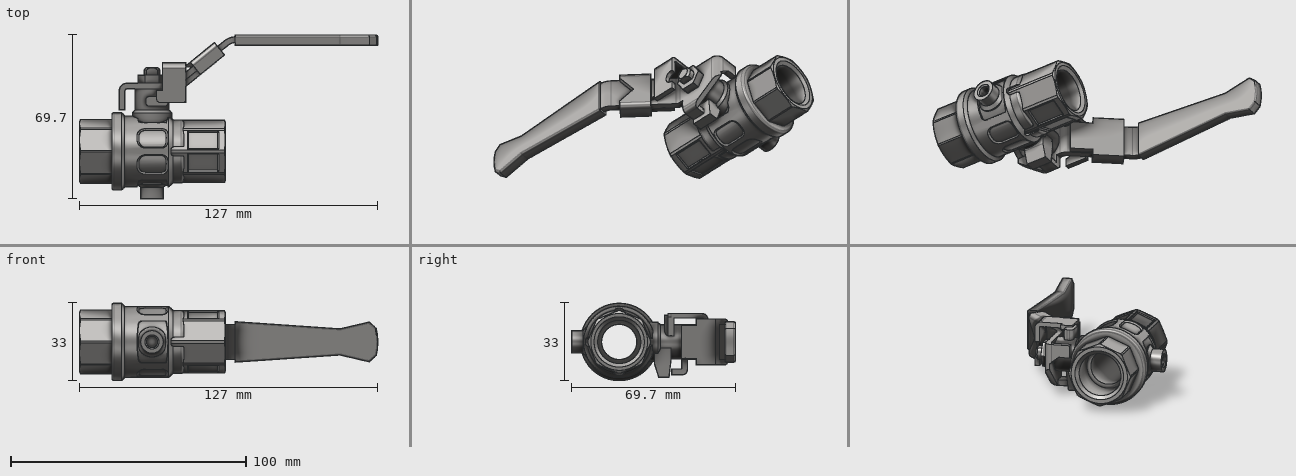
import cadquery as cq
import math


BODY_LEFT = -30.9
BODY_RIGHT = 31.3
CAP_RADIUS = 13.6
CAP_FLATS = 25.4
TAIL_RADIUS = 13.3
TAIL_FLATS = 25.0
END_CHAMFER = 1.2
END_CHAMFER_LENGTH = 0.5
FLANGE_LEFT = -17.1
FLANGE_RIGHT = -11.6
FLANGE_RADIUS = 16.5
FLANGE_ROUND = 1.0
FLANGE_CHAMFER = 1.3
SHELL_RADIUS = 15.15
SHELL_END = 7.0
SKIRT_START = 9.0
SKIRT_END = 13.6
SKIRT_RADIUS = 13.55
SKIRT_ROUND = 1.2
SKIRT_NOTCH_START = 8.0
SKIRT_NOTCH_HALF_WIDTH = 2.0
SKIRT_NOTCH_ROUND = 1.5

PORT_RADIUS = 7.45
THREAD_RADIUS = 9.2
THREAD_MOUTH_RADIUS = 10.7
THREAD_MOUTH_DEPTH = 1.2
THREAD_DEPTH = 14.0

MARKED_FLAT_ANGLES = (-22.5, 22.5, 157.5, 202.5)
PANEL_LEFT = -6.4
PANEL_RIGHT = 6.9
PANEL_DEPTH = 0.7
PANEL_HALF_WIDTH = 5.3
PANEL_CORNER = 0.9
PANEL_WALL_TAPER = 50.0
WIDE_PANEL_HALF_WIDTH = 9.8
WIDE_PANEL_WALL_TAPER = 15.0
POCKET_LEFT = 15.0
POCKET_RIGHT = 28.4
POCKET_WIDTH = 8.4
POCKET_DEPTH = 0.5

DRAIN_TIP = -20.2
DRAIN_RADIUS = 4.8
DRAIN_FOOT_RADIUS = 6.4
DRAIN_FOOT = -14.0
DRAIN_FOOT_TOP = -15.3
DRAIN_HOLE_RADIUS = 2.4
DRAIN_HOLE_MOUTH_RADIUS = 3.0
DRAIN_HOLE_DEPTH = 5.0

SHEET = 2.5
PLATE_BOTTOM = 26.55
PLATE_LEFT = -14.0
TAB_TIP = 17.6
TAB_EDGE_Z = 2.1
TAB_GUSSET_START = 22.3
TAB_GUSSET_Z = -1.3
PLATE_CORNER_Z = -3.4
LEVER_HALF_WIDTH = 7.5
FOLD_Z = -14.0
FOLD_LEFT = 0.0
FOLD_RIGHT = 6.0
FOLD_TIP = 22.3
FOLD_ROUND = 2.3
LEVER_END_Y = 47.55
LEVER_SLOPE = 39.0
TAB_BEND = 2.2
FOOT_BEND = 4.0
GRIP_BEND = 6.5

NECK_RADIUS = 7.3
NECK_ROOT = 8.5
COLLAR_RADIUS = 8.4
COLLAR_TOP = 16.4
COLLAR_SLOPE_TOP = 17.6
NUT_FLATS = 10.4
NUT_HEIGHT = 3.4
STEM_RADIUS = 3.4
STEM_TOP = 35.6
STEM_CHAMFER = 0.9
STEM_HALF_THICKNESS = 2.5

LUG_LEFT = -2.6
LUG_RIGHT = 6.8
UPPER_LUG_BOTTOM = 19.2
UPPER_LUG_TOP = 23.4
UPPER_LUG_Z = 11.4
LUG_ROUND = 1.5
LOWER_LUG_Z = -15.1
LOWER_LUG_TOP = 22.1
LOWER_LUG_TIP_TOP = 21.2
LOWER_LUG_TIP_BOTTOM = 16.8
LOWER_LUG_FOOT = 14.9
LOWER_LUG_FOOT_Z = -9.2

CLIP_LEFT = 4.4
CLIP_RIGHT = 14.4
CLIP_BACK = 37.8
CLIP_SHEET = 1.95
CLIP_TOP_Z = 12.1
CLIP_LOW_Z = -7.1
CLIP_TIP = 20.7
CLIP_BEND = 2.6
CLIP_TOE_LEFT = 1.9
CLIP_TOE_TOP = 25.8
CLIP_TOE_ROUND = 1.8
CLIP_HEEL_ROUND = 1.4
CLIP_NOTCH_RADIUS = 3.3
CLIP_HOOK_LEFT = 12.4
CLIP_HOOK_Z = 2.6
CLIP_HOOK_TOP = 23.3
BRIDGE_HALF_WIDTH = 5.0
SLEEVE_X = 16.3
SLEEVE_Y = 38.0
SLEEVE_LENGTH = 13.2
SLEEVE_HEIGHT = 6.85
SLEEVE_HALF_WIDTH = 9.8
SLEEVE_WALL = 2.1
SLEEVE_ROUND = 2.0
SLEEVE_VEE_DEPTH = 5.9
SLEEVE_VEE_HALF_WIDTH = 6.8
LINER_START = -9.8
LINER_HALF_WIDTH = 7.0

GRIP_LEFT = 35.4
GRIP_RIGHT = 96.1
GRIP_BOTTOM = 45.0
GRIP_TOP = 49.5
GRIP_HALF_WIDTH = 8.65
GRIP_WAIST_X = 80.0
GRIP_WAIST_HALF_WIDTH = 5.6
GRIP_FLARE_X = 92.4
GRIP_FLARE_HALF_WIDTH = 8.5
GRIP_END_X = 95.4
GRIP_END_HALF_WIDTH = 5.7
GRIP_TOP_EDGE = 0.9
GRIP_BOTTOM_EDGE = 0.5

OVERLAP = 0.5


def block(x0, x1, y0, y1, z0, z1):
    """Box between two opposite corners."""
    size = cq.Workplane("XY").box(x1 - x0, y1 - y0, z1 - z0, centered=False)
    return size.translate((x0, y0, z0))


def turned(points):
    """Solid of revolution about X from (x, radius) points."""
    return cq.Workplane("XY").polyline(points).close().revolve(360, (0, 0, 0), (1, 0, 0))


def turned_about_stem(points):
    """Solid of revolution about Y from (radius, y) points."""
    return cq.Workplane("XY").polyline(points).close().revolve(360, (0, 0, 0), (0, 1, 0))


def octagon(x0, x1, flats, radius):
    """Octagonal end with corners on the Y and Z axes, trimmed by a chamfered cylinder."""
    across_corners = flats / math.cos(math.pi / 8)
    prism = cq.Workplane("YZ", origin=(x0, 0, 0)).polygon(8, across_corners).extrude(x1 - x0)
    envelope = turned([
        (x0, 0),
        (x0, radius - END_CHAMFER),
        (x0 + END_CHAMFER_LENGTH, radius),
        (x1 - END_CHAMFER_LENGTH, radius),
        (x1, radius - END_CHAMFER),
        (x1, 0),
    ])
    return prism.intersect(envelope)


def make_shell():
    flange = cq.Workplane("YZ", origin=(FLANGE_LEFT, 0, 0)).circle(FLANGE_RADIUS)
    flange = flange.extrude(FLANGE_RIGHT - FLANGE_LEFT)
    flange = flange.edges("<X").fillet(FLANGE_ROUND).edges(">X").chamfer(FLANGE_CHAMFER)
    shell = turned([
        (FLANGE_LEFT + OVERLAP, 0),
        (FLANGE_LEFT + OVERLAP, SHELL_RADIUS),
        (SHELL_END, SHELL_RADIUS),
        (SKIRT_START, SKIRT_RADIUS),
        (SKIRT_END, SKIRT_RADIUS),
        (SKIRT_END, 0),
    ])
    shell = shell.edges(">X").fillet(SKIRT_ROUND)
    return shell.union(flange)


def make_skirt_notches():
    """Notches in the skirt where the octagon corners on the Y and Z axes run out."""
    reach = 2 * SKIRT_RADIUS
    across_z = block(
        SKIRT_NOTCH_START, SKIRT_END + OVERLAP,
        -SKIRT_NOTCH_HALF_WIDTH, SKIRT_NOTCH_HALF_WIDTH, -reach, reach,
    ).edges("|Z and <X").fillet(SKIRT_NOTCH_ROUND)
    return across_z.union(across_z.rotate((0, 0, 0), (1, 0, 0), 90))


def make_panel(half_width, wall_taper, angle):
    """Shell recess with a floor concentric to the shell, centred at `angle` from +Z about X."""
    length = PANEL_RIGHT - PANEL_LEFT
    rim_height = math.sqrt(SHELL_RADIUS ** 2 - half_width ** 2)
    base_height = rim_height - 2 * PANEL_DEPTH
    spread = (SHELL_RADIUS - base_height) * math.tan(math.radians(wall_taper))
    outline = cq.Sketch().rect(length - 2 * spread, 2 * half_width - 2 * spread)
    outline = outline.vertices("<X").fillet(PANEL_CORNER)
    plug = (
        cq.Workplane("XY", origin=((PANEL_LEFT + PANEL_RIGHT) / 2, 0, base_height))
        .placeSketch(outline)
        .extrude(SHELL_RADIUS - base_height, taper=-wall_taper)
    )
    core = cq.Workplane("YZ", origin=(PANEL_LEFT, 0, 0)).circle(SHELL_RADIUS - PANEL_DEPTH).extrude(length)
    return plug.cut(core).rotate((0, 0, 0), (1, 0, 0), angle)


def make_pocket(angle):
    """Shallow rectangular pocket in the octagon flat at `angle` from +Z about X."""
    floor = TAIL_FLATS / 2 - POCKET_DEPTH
    pocket = (
        cq.Workplane("XY", origin=((POCKET_LEFT + POCKET_RIGHT) / 2, 0, floor))
        .rect(POCKET_RIGHT - POCKET_LEFT - 2 * POCKET_DEPTH, POCKET_WIDTH - 2 * POCKET_DEPTH)
        .extrude(2 * POCKET_DEPTH, taper=-45)
    )
    return pocket.rotate((0, 0, 0), (1, 0, 0), angle)


def make_drain():
    return turned_about_stem([
        (0, DRAIN_TIP),
        (DRAIN_RADIUS, DRAIN_TIP),
        (DRAIN_RADIUS, DRAIN_FOOT_TOP),
        (DRAIN_FOOT_RADIUS, DRAIN_FOOT),
        (DRAIN_FOOT_RADIUS, DRAIN_FOOT + OVERLAP),
        (0, DRAIN_FOOT + OVERLAP),
    ])


def make_drain_hole():
    mouth = DRAIN_HOLE_MOUTH_RADIUS - DRAIN_HOLE_RADIUS
    bottom = DRAIN_TIP + DRAIN_HOLE_DEPTH
    return turned_about_stem([
        (0, DRAIN_TIP),
        (DRAIN_HOLE_MOUTH_RADIUS, DRAIN_TIP),
        (DRAIN_HOLE_RADIUS, DRAIN_TIP + mouth),
        (DRAIN_HOLE_RADIUS, bottom),
        (0, bottom),
    ])


def make_bores():
    port = cq.Workplane("YZ", origin=(BODY_LEFT, 0, 0)).circle(PORT_RADIUS).extrude(BODY_RIGHT - BODY_LEFT)
    for end, inward in ((BODY_LEFT, 1), (BODY_RIGHT, -1)):
        thread = turned([
            (end, 0),
            (end, THREAD_MOUTH_RADIUS),
            (end + inward * THREAD_MOUTH_DEPTH, THREAD_RADIUS),
            (end + inward * THREAD_DEPTH, THREAD_RADIUS),
            (end + inward * THREAD_DEPTH, 0),
        ])
        port = port.union(thread)
    return port


def make_neck():
    return turned_about_stem([
        (0, NECK_ROOT),
        (COLLAR_RADIUS, NECK_ROOT),
        (COLLAR_RADIUS, COLLAR_TOP),
        (NECK_RADIUS, COLLAR_SLOPE_TOP),
        (NECK_RADIUS, PLATE_BOTTOM),
        (0, PLATE_BOTTOM),
    ])


def make_lugs():
    upper = block(LUG_LEFT, LUG_RIGHT, UPPER_LUG_BOTTOM, UPPER_LUG_TOP, 0, UPPER_LUG_Z)
    upper = upper.edges("|Z").fillet(LUG_ROUND)
    lower = (
        cq.Workplane("YZ", origin=(LUG_LEFT, 0, 0))
        .polyline([
            (LOWER_LUG_FOOT, 0),
            (LOWER_LUG_TOP, 0),
            (LOWER_LUG_TOP, -NECK_RADIUS),
            (LOWER_LUG_TIP_TOP, LOWER_LUG_Z),
            (LOWER_LUG_TIP_BOTTOM, LOWER_LUG_Z),
            (LOWER_LUG_FOOT, LOWER_LUG_FOOT_Z),
        ])
        .close()
        .extrude(LUG_RIGHT - LUG_LEFT)
    )
    return upper.union(lower)


def make_stem():
    plate_top = PLATE_BOTTOM + SHEET
    nut = (
        cq.Workplane("XZ", origin=(0, plate_top - OVERLAP, 0))
        .polygon(6, NUT_FLATS / math.cos(math.pi / 6))
        .extrude(-NUT_HEIGHT - OVERLAP)
    )
    stem = cq.Workplane("XZ", origin=(0, plate_top, 0)).circle(STEM_RADIUS).extrude(plate_top - STEM_TOP)
    stem = stem.edges(">Y").chamfer(STEM_CHAMFER)
    flats = block(
        -STEM_RADIUS, STEM_RADIUS, plate_top, STEM_TOP, -STEM_HALF_THICKNESS, STEM_HALF_THICKNESS,
    )
    return nut.union(stem.intersect(flats))


SLOPE = math.radians(LEVER_SLOPE)
SLEEVE_PLANE = cq.Plane(
    origin=(SLEEVE_X, SLEEVE_Y, 0),
    xDir=(math.cos(SLOPE), math.sin(SLOPE), 0),
    normal=(0, 0, 1),
)


def sloped_block(x0, x1, y0, y1, half_width):
    """Box along the lever slope, measured from the upper lower-end corner of the sleeve."""
    return (
        cq.Workplane(SLEEVE_PLANE)
        .center((x0 + x1) / 2, (y0 + y1) / 2)
        .rect(x1 - x0, y1 - y0)
        .extrude(half_width, both=True)
    )


def bent_path(points, radii):
    """Path in the XY plane through `points`, rounded at each inner point."""
    path = cq.Workplane("XY").moveTo(*points[0])
    for before, corner, after, radius in zip(points, points[1:], points[2:], radii):
        arriving = math.atan2(corner[1] - before[1], corner[0] - before[0])
        leaving = math.atan2(after[1] - corner[1], after[0] - corner[0])
        setback = radius * math.tan(abs(leaving - arriving) / 2)
        path = path.lineTo(corner[0] - setback * math.cos(arriving), corner[1] - setback * math.sin(arriving))
        arc_end = (corner[0] + setback * math.cos(leaving), corner[1] + setback * math.sin(leaving))
        path = path.tangentArcPoint(arc_end, relative=False)
    return path.lineTo(*points[-1])


def make_lever():
    tab_x = PLATE_LEFT + SHEET / 2
    plate_y = PLATE_BOTTOM + SHEET / 2
    depth = SLEEVE_WALL + SHEET / 2
    slope_x = SLEEVE_X + depth * math.sin(SLOPE)
    slope_y = SLEEVE_Y - depth * math.cos(SLOPE)
    foot_x = slope_x - (slope_y - plate_y) / math.tan(SLOPE)
    head_x = slope_x + (LEVER_END_Y - slope_y) / math.tan(SLOPE)
    points = [
        (tab_x, TAB_TIP),
        (tab_x, plate_y),
        (foot_x, plate_y),
        (head_x, LEVER_END_Y),
        (GRIP_WAIST_X, LEVER_END_Y),
    ]
    path = bent_path(points, (TAB_BEND, FOOT_BEND, GRIP_BEND))
    z_centre = (LEVER_HALF_WIDTH + FOLD_Z) / 2
    sheet = (
        cq.Workplane("XZ", origin=(tab_x, TAB_TIP, 0))
        .center(0, z_centre)
        .rect(SHEET, LEVER_HALF_WIDTH - FOLD_Z)
        .sweep(path)
    )
    outline = (
        cq.Workplane("XZ")
        .polyline([
            (PLATE_LEFT, LEVER_HALF_WIDTH),
            (PLATE_LEFT, PLATE_CORNER_Z),
            (FOLD_LEFT, FOLD_Z),
            (FOLD_RIGHT, FOLD_Z),
            (FOLD_RIGHT, -LEVER_HALF_WIDTH),
            (GRIP_LEFT + OVERLAP, -LEVER_HALF_WIDTH),
            (GRIP_LEFT + OVERLAP, LEVER_HALF_WIDTH),
        ])
        .close()
        .extrude(-GRIP_TOP)
    )
    below_tab = (
        cq.Workplane("YZ", origin=(PLATE_LEFT, 0, 0))
        .polyline([
            (TAB_TIP, TAB_EDGE_Z),
            (TAB_GUSSET_START, TAB_EDGE_Z),
            (PLATE_BOTTOM, TAB_GUSSET_Z),
            (PLATE_BOTTOM, FOLD_Z),
            (TAB_TIP, FOLD_Z),
        ])
        .close()
        .extrude(SHEET + TAB_BEND)
    )
    fold = block(FOLD_LEFT, FOLD_RIGHT, FOLD_TIP, PLATE_BOTTOM + SHEET, FOLD_Z, FOLD_Z + SHEET)
    lever = sheet.intersect(outline).cut(below_tab).union(fold)
    fold_ridge = ((FOLD_LEFT + FOLD_RIGHT) / 2, PLATE_BOTTOM + SHEET, FOLD_Z)
    return lever.edges(cq.selectors.NearestToPointSelector(fold_ridge)).fillet(FOLD_ROUND)


def make_clip():
    inner_back = CLIP_BACK - CLIP_SHEET
    inner_top = CLIP_TOP_Z - CLIP_SHEET
    profile = block(CLIP_LEFT, CLIP_RIGHT, CLIP_TIP, CLIP_BACK, CLIP_LOW_Z, CLIP_TOP_Z)
    profile = profile.edges("|X and >Y and >Z").fillet(CLIP_BEND)
    hollow = block(CLIP_LEFT, CLIP_RIGHT, CLIP_TIP, inner_back, CLIP_LOW_Z, inner_top)
    hollow = hollow.edges("|X and >Y and >Z").fillet(CLIP_BEND - CLIP_SHEET)
    toe = block(CLIP_TOE_LEFT, CLIP_LEFT + OVERLAP, CLIP_TIP, CLIP_TOE_TOP, inner_top, CLIP_TOP_Z)
    toe = toe.edges("|Z and <X and <Y").fillet(CLIP_TOE_ROUND)
    heel_corner = block(
        CLIP_RIGHT - CLIP_HEEL_ROUND, CLIP_RIGHT, CLIP_TIP, CLIP_TIP + CLIP_HEEL_ROUND, inner_top, CLIP_TOP_Z,
    )
    heel_round = (
        cq.Workplane("XY", origin=(CLIP_RIGHT - CLIP_HEEL_ROUND, CLIP_TIP + CLIP_HEEL_ROUND, inner_top))
        .circle(CLIP_HEEL_ROUND)
        .extrude(CLIP_SHEET)
    )
    notch = (
        cq.Workplane("XZ", origin=(CLIP_LEFT, inner_back, 0))
        .circle(CLIP_NOTCH_RADIUS)
        .extrude(-CLIP_SHEET)
    )
    hook = block(CLIP_HOOK_LEFT, CLIP_RIGHT, CLIP_TIP, CLIP_HOOK_TOP, CLIP_HOOK_Z, inner_top + OVERLAP)
    bridge = block(
        CLIP_RIGHT - OVERLAP, SLEEVE_X + SLEEVE_WALL, inner_back, CLIP_BACK,
        -BRIDGE_HALF_WIDTH, BRIDGE_HALF_WIDTH,
    )
    bridge = bridge.cut(sloped_block(-SLEEVE_LENGTH, SLEEVE_LENGTH, 0, SLEEVE_HEIGHT, SLEEVE_HALF_WIDTH))
    clip = profile.cut(hollow).cut(heel_corner.cut(heel_round)).union(toe).cut(notch)
    return clip.union(hook).union(bridge)


def make_sleeve():
    sleeve = sloped_block(0, SLEEVE_LENGTH, -SLEEVE_HEIGHT, 0, SLEEVE_HALF_WIDTH)
    along_lever = cq.selectors.ParallelDirSelector(SLEEVE_PLANE.xDir)
    sleeve = sleeve.edges(along_lever).edges(">Y").fillet(SLEEVE_ROUND)
    vee = (
        cq.Workplane(cq.Plane(origin=SLEEVE_PLANE.origin, xDir=SLEEVE_PLANE.xDir, normal=SLEEVE_PLANE.yDir))
        .polyline([
            (SLEEVE_LENGTH, SLEEVE_VEE_HALF_WIDTH),
            (SLEEVE_LENGTH - SLEEVE_VEE_DEPTH, 0),
            (SLEEVE_LENGTH, -SLEEVE_VEE_HALF_WIDTH),
        ])
        .close()
        .extrude(-SLEEVE_WALL)
    )
    liner = sloped_block(LINER_START, OVERLAP, -SLEEVE_HEIGHT, -SLEEVE_WALL - SHEET / 2, LINER_HALF_WIDTH)
    return sleeve.cut(vee).union(liner)


def make_grip():
    half = [
        (GRIP_LEFT, GRIP_HALF_WIDTH),
        (GRIP_WAIST_X, GRIP_WAIST_HALF_WIDTH),
        (GRIP_FLARE_X, GRIP_FLARE_HALF_WIDTH),
    ]
    grip = (
        cq.Workplane("XZ", origin=(0, GRIP_BOTTOM, 0))
        .polyline(half)
        .lineTo(GRIP_END_X, GRIP_END_HALF_WIDTH)
        .threePointArc((GRIP_RIGHT, 0), (GRIP_END_X, -GRIP_END_HALF_WIDTH))
        .lineTo(GRIP_FLARE_X, -GRIP_FLARE_HALF_WIDTH)
        .polyline([(x, -z) for x, z in reversed(half)])
        .close()
        .extrude(GRIP_BOTTOM - GRIP_TOP)
    )
    grip = grip.faces(">Y").edges("not <X").fillet(GRIP_TOP_EDGE)
    return grip.faces("<Y").edges("not <X").fillet(GRIP_BOTTOM_EDGE)


def make_body():
    body = make_shell().cut(make_skirt_notches())
    for angle in MARKED_FLAT_ANGLES:
        body = body.cut(make_panel(PANEL_HALF_WIDTH, PANEL_WALL_TAPER, angle))
    for angle in (-90, 90):
        body = body.cut(make_panel(WIDE_PANEL_HALF_WIDTH, WIDE_PANEL_WALL_TAPER, angle))
    cap = octagon(BODY_LEFT, FLANGE_LEFT + 2 * OVERLAP, CAP_FLATS, CAP_RADIUS)
    tail = octagon(0, BODY_RIGHT, TAIL_FLATS, TAIL_RADIUS)
    for angle in MARKED_FLAT_ANGLES:
        tail = tail.cut(make_pocket(angle))
    body = body.union(cap).union(tail).union(make_drain()).union(make_neck()).union(make_lugs())
    return body.cut(make_bores()).cut(make_drain_hole())


result = make_body().union(make_lever()).union(make_stem())
result = result.union(make_sleeve()).union(make_clip()).union(make_grip())